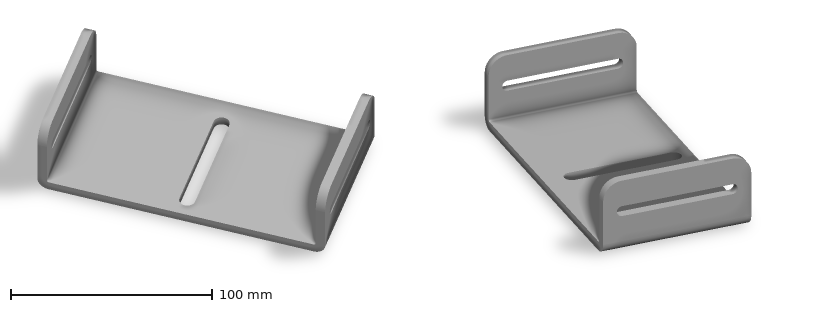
import cadquery as cq

length = 150.4
width = 80.0
height = 40.0
thickness = 5.0
bend_inner_radius = 1.0
bend_outer_radius = bend_inner_radius + thickness
corner_radius = 10.0

base_slot_length = 63.2
base_slot_width = 8.1
base_slot_offset = -2.5

flange_slot_length = 65.3
flange_slot_width = 5.5
flange_slot_height = 22.9


def block(size_x, size_z, bottom):
    """Full-width block centred on X and Y, standing on the given height."""
    return cq.Workplane("XY", origin=(0, 0, bottom)).box(size_x, width, size_z, centered=(True, True, False))


def bent_channel():
    """U-shaped sheet with rounded bends along both long corners."""
    outer = block(length, height, 0).edges("|Y and <Z").fillet(bend_outer_radius)
    inner = block(length - 2 * thickness, height, thickness).edges("|Y and <Z").fillet(bend_inner_radius)
    return outer.cut(inner)


def base_slot():
    return (
        cq.Workplane("XY")
        .center(0, base_slot_offset)
        .slot2D(base_slot_length, base_slot_width, 90)
        .extrude(thickness)
    )


def flange_slots():
    """One cutter through both flanges."""
    return (
        cq.Workplane("YZ")
        .center(0, flange_slot_height)
        .slot2D(flange_slot_length, flange_slot_width)
        .extrude(length / 2, both=True)
    )


channel = bent_channel().faces(">Z").edges("|X").fillet(corner_radius)
result = channel.cut(base_slot()).cut(flange_slots())